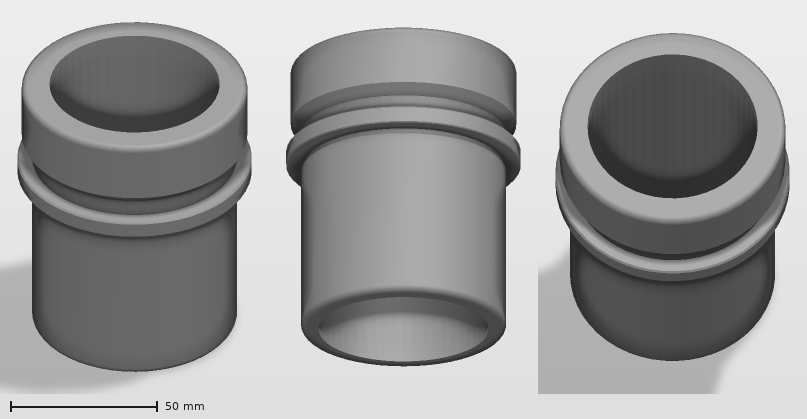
import cadquery as cq

total_height = 96.0
bore_radius = 58.0 / 2
body_radius = 70.0 / 2
head_radius = 77.0 / 2
flange_radius = 80.0 / 2
groove_depth = 0.8

body_top = 58.7
flange_bottom = 60.0
flange_top = 66.0
head_bottom = 75.4

rim_fillet = 2.0
flange_top_chamfer = 0.6
flange_bottom_chamfer = 0.4
body_top_chamfer = groove_depth

taper_bottom = head_bottom - (head_radius - body_radius)
groove_radius = body_radius - groove_depth


def cylinder(radius, bottom, top):
    """Solid cylinder on the Z axis between two heights."""
    return cq.Workplane("XY").workplane(offset=bottom).circle(radius).extrude(top - bottom)


body = cylinder(body_radius, 0, body_top)
body = body.faces("<Z").edges().fillet(rim_fillet)
body = body.faces(">Z").edges().chamfer(body_top_chamfer)

groove_core = cylinder(groove_radius, body_top - body_top_chamfer, flange_bottom)

flange = cylinder(flange_radius, flange_bottom, flange_top)
flange = flange.faces(">Z").edges().chamfer(flange_top_chamfer)
flange = flange.faces("<Z").edges().chamfer(flange_bottom_chamfer)

neck = cylinder(body_radius, flange_top, taper_bottom)

head = cylinder(head_radius, taper_bottom, total_height)
head = head.faces("<Z").edges().chamfer(head_radius - body_radius)
head = head.faces(">Z").edges().fillet(rim_fillet)

bore = cylinder(bore_radius, 0, total_height)

result = body.union(groove_core).union(flange).union(neck).union(head).cut(bore)